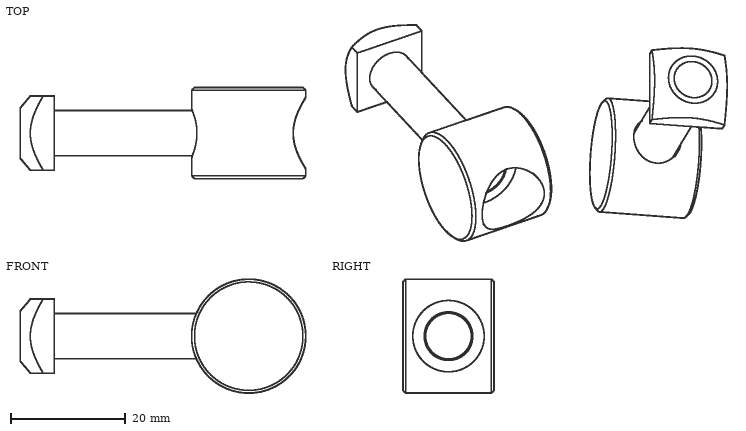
import cadquery as cq
import math

barrel_diameter = 20
barrel_length = 16
barrel_chamfer = 0.5
clearance_diameter = 8.5
counterbore_diameter = 12.5

shank_diameter = 8
core_diameter = 6.75

nut_width = 13
nut_thickness = 6
nut_tip_x = -40
nose_tip_diameter = 8.8
nose_slope = 40

barrel_radius = barrel_diameter / 2
nut_back_x = nut_tip_x + nut_thickness
seat_x = 0


def rod(diameter, start_x, end_x):
    """Round bar along X."""
    return cq.Workplane("YZ", origin=(start_x, 0, 0)).circle(diameter / 2).extrude(end_x - start_x)


def make_barrel():
    body = cq.Workplane("XZ").circle(barrel_radius).extrude(barrel_length / 2, both=True)
    body = body.faces("<Y or >Y").chamfer(barrel_chamfer)
    body = body.cut(rod(clearance_diameter, -barrel_radius, barrel_radius))
    return body.cut(rod(counterbore_diameter, seat_x, barrel_radius))


def make_screw():
    shank = rod(shank_diameter, nut_back_x, seat_x)
    return shank.union(rod(core_diameter, nut_tip_x, nut_back_x))


def make_nut():
    block = (
        cq.Workplane("YZ", origin=(nut_tip_x, 0, 0))
        .rect(nut_width, nut_width)
        .extrude(nut_thickness)
    )
    tip_radius = nose_tip_diameter / 2
    base_radius = tip_radius + nut_thickness / math.tan(math.radians(nose_slope))
    cone = (
        cq.Workplane("XY")
        .moveTo(nut_tip_x, 0)
        .lineTo(nut_tip_x, tip_radius)
        .lineTo(nut_back_x, base_radius)
        .lineTo(nut_back_x, 0)
        .close()
        .revolve(360, (0, 0, 0), (1, 0, 0))
    )
    return block.intersect(cone).cut(rod(core_diameter, nut_tip_x, nut_back_x))


barrel = make_barrel()
screw = make_screw()
nut = make_nut()

result = cq.Compound.makeCompound([barrel.val(), screw.val(), nut.val()])